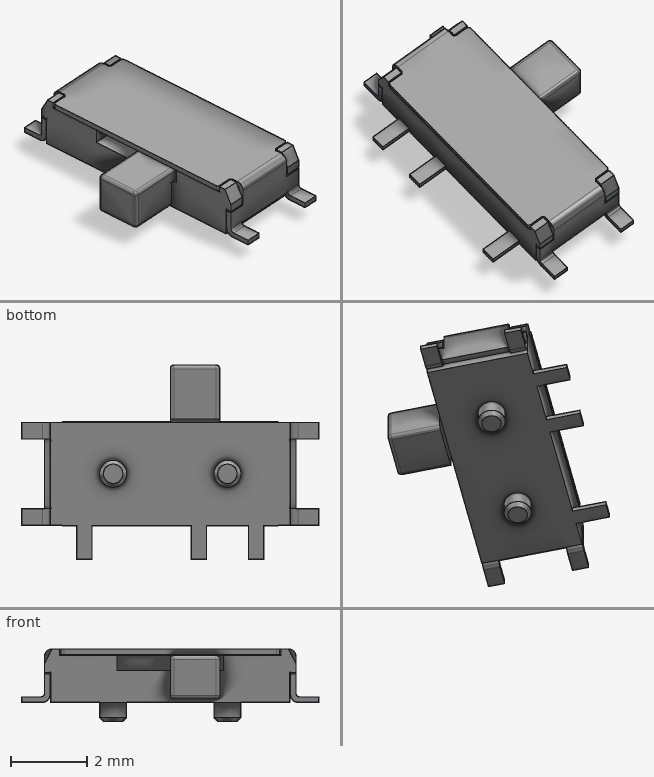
import cadquery as cq


overall_length = 7.8
body_length = 6.6
base_depth = 2.7
body_height = 1.405
sheet = 0.15

top_clearance = 0.02
end_clearance = 0.015
post_clearance = 0.04

cover_overhang = 0.02
top_bend_radius = 0.2
foot_inner_radius = 0.09
foot_outer_radius = 0.2
foot_width = 0.44
end_plate_bottom = 0.21
notch_inner_radius = 0.08
top_corner_radius = 0.07

post_length = 0.4
post_width = 0.445
post_height = 0.62
post_bevel_run = 0.2
post_bevel_drop = 0.39

slot_length = 2.79
slot_drop = 0.57
slot_depth = 0.7
knob_left = 0.0
knob_width = 1.3
knob_projection = 1.505
knob_gap = 0.09
knob_bottom = 0.085
knob_fillet = 0.1

peg_diameter = 0.71
peg_length = 0.5
peg_chamfer = 0.1
peg_positions = (-1.5, 1.5)
terminal_width = 0.405
terminal_projection = 0.9
terminal_positions = (-2.255, 0.75, 2.255)

half_body = body_length / 2
half_depth = base_depth / 2
base_length = body_length - 2 * (sheet + end_clearance)
base_top = body_height - sheet - top_clearance
slot_floor = body_height - slot_drop
notch_x = half_body - post_length - post_clearance
notch_bottom = body_height - post_height - post_clearance


def box(x_range, y_range, z_range):
    """Box between the given lower and upper limits on each axis."""
    size = [high - low for low, high in (x_range, y_range, z_range)]
    corner = (x_range[0], y_range[0], z_range[0])
    return cq.Workplane("XY").box(*size, centered=False).translate(corner)


def mirrored_in_x(shape):
    return shape.union(shape.mirror("YZ"))


def mirrored_in_xy(shape):
    half = mirrored_in_x(shape)
    return half.union(half.mirror("XZ"))


def make_corner_post():
    """Post at the right back corner, flush with the cover and bevelled at its outer top edge."""
    return (
        cq.Workplane("XZ", origin=(0, half_depth, 0))
        .moveTo(half_body - post_length, body_height - post_height)
        .lineTo(half_body, body_height - post_height)
        .lineTo(half_body, body_height - post_bevel_drop)
        .lineTo(half_body - post_bevel_run, body_height)
        .lineTo(half_body - post_length, body_height)
        .close()
        .extrude(post_width)
    )


def make_slider():
    """Knob in front of the base, with a neck that fills the slot from its floor up."""
    knob_x = (knob_left, knob_left + knob_width)
    slider = box(knob_x, (-half_depth - knob_projection, -half_depth + slot_depth), (knob_bottom, base_top))
    slider = slider.edges("|Y").fillet(knob_fillet)
    slider = slider.faces("<Y").edges().fillet(knob_fillet)
    below_neck = box(knob_x, (-half_depth - knob_gap, -half_depth + slot_depth), (0, slot_floor))
    return slider.cut(below_neck)


def make_peg(x):
    return (
        cq.Workplane("XY", origin=(x, 0, -peg_length))
        .circle(peg_diameter / 2)
        .extrude(peg_length)
        .faces("<Z")
        .chamfer(peg_chamfer)
    )


def make_terminal(x):
    return box(
        (x - terminal_width / 2, x + terminal_width / 2),
        (half_depth, half_depth + terminal_projection),
        (0, sheet),
    )


def make_base():
    base = box((-base_length / 2, base_length / 2), (-half_depth, half_depth), (0, base_top))
    base = base.union(mirrored_in_xy(make_corner_post()))
    slot = box(
        (-slot_length / 2, slot_length / 2),
        (-half_depth, -half_depth + slot_depth),
        (slot_floor, base_top),
    )
    base = base.cut(slot).union(make_slider())
    for x in peg_positions:
        base = base.union(make_peg(x))
    for x in terminal_positions:
        base = base.union(make_terminal(x))
    return base


def make_top_sheet():
    """Middle of the cover's top, between the corner notches, overhanging front and back."""
    half_width = half_depth + cover_overhang
    top = box((-notch_x, notch_x), (-half_width, half_width), (body_height - sheet, body_height))
    return top.edges("|Z").fillet(top_corner_radius)


def make_folded_end():
    """Right end of the top sheet, folded down into the end plate between the corner notches."""
    half_width = half_depth - post_width - post_clearance
    outer = box((0, half_body), (-half_width, half_width), (end_plate_bottom, body_height))
    outer = outer.edges(">X and >Z").fillet(top_bend_radius)
    inner = box((0, half_body - sheet), (-half_width, half_width), (end_plate_bottom, body_height - sheet))
    inner = inner.edges(">X and >Z").fillet(top_bend_radius - sheet)
    return outer.cut(inner)


def make_notch_fillet():
    """Rounded inner corner of the notch around the right back post."""
    corner_y = half_depth - post_width - post_clearance
    block = box(
        (notch_x, notch_x + notch_inner_radius),
        (corner_y, corner_y + notch_inner_radius),
        (body_height - sheet, body_height),
    )
    rounding = (
        cq.Workplane("XY", origin=(notch_x + notch_inner_radius, corner_y + notch_inner_radius, 0))
        .circle(notch_inner_radius)
        .extrude(body_height)
    )
    return block.cut(rounding)


def make_end_plate():
    """Full-width band of the right end plate, below the notches."""
    return box((half_body - sheet, half_body), (-half_depth, half_depth), (end_plate_bottom, notch_bottom))


def make_foot():
    """Right back foot: a strip running down the end plate and bent outwards along the ground."""
    return (
        cq.Workplane("XZ", origin=(0, half_depth, 0))
        .moveTo(half_body - sheet, notch_bottom)
        .lineTo(half_body - sheet, foot_outer_radius)
        .radiusArc((half_body - sheet + foot_outer_radius, 0), -foot_outer_radius)
        .lineTo(overall_length / 2, 0)
        .lineTo(overall_length / 2, sheet)
        .lineTo(half_body + foot_inner_radius, sheet)
        .radiusArc((half_body, sheet + foot_inner_radius), foot_inner_radius)
        .lineTo(half_body, notch_bottom)
        .close()
        .extrude(foot_width)
    )


def make_cover():
    cover = make_top_sheet()
    cover = cover.union(mirrored_in_x(make_folded_end().union(make_end_plate())))
    cover = cover.union(mirrored_in_xy(make_notch_fillet()))
    return cover.union(mirrored_in_xy(make_foot()))


base = make_base()
cover = make_cover()

result = cq.Compound.makeCompound([base.val(), cover.val()])